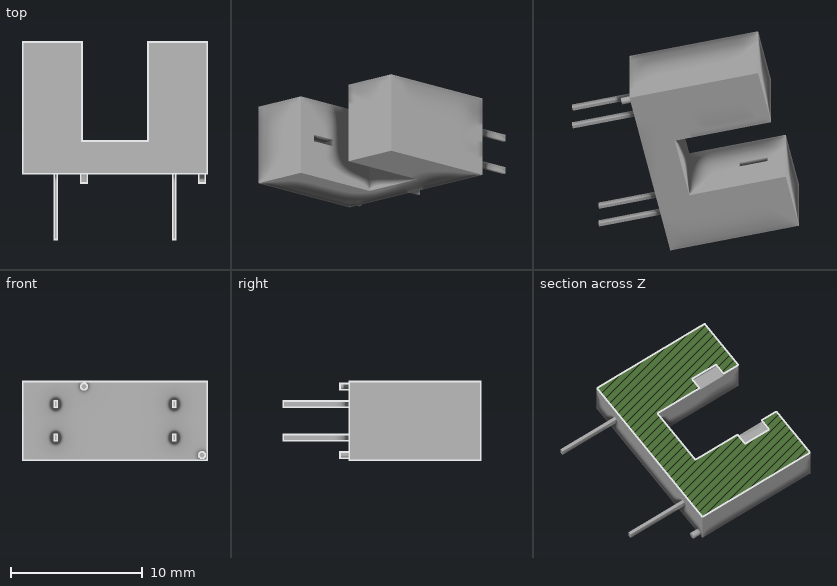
import cadquery as cq


body_width = 14.0
body_depth = 10.0
body_height = 6.0

gap_width = 5.0
gap_depth = 7.5
gap_floor_y = body_depth - gap_depth

window_length = 2.2
window_height = 0.5
window_recess = 1.0
window_center_y = 7.5

lead_width = 0.25
lead_height = 0.5
lead_length = 5.0
lead_spacing_x = 9.0
lead_spacing_z = 2.54

peg_diameter = 0.5
peg_length = 0.7
peg_offset_z = 2.6
peg_centers = [(-2.35, peg_offset_z), (6.6, -peg_offset_z)]


def make_body():
    """Block with the gap cut through its full height from the +Y side."""
    block = cq.Workplane("XY").box(
        body_width, body_depth, body_height, centered=(True, False, True)
    )
    gap = (
        cq.Workplane("XY")
        .box(gap_width, gap_depth, body_height, centered=(True, False, True))
        .translate((0, gap_floor_y, 0))
    )
    return block.cut(gap)


def make_windows():
    """One bar across the gap that reaches into both arms."""
    return (
        cq.Workplane("XY")
        .box(gap_width + 2 * window_recess, window_length, window_height)
        .translate((0, window_center_y, 0))
    )


def make_leads():
    """Four rectangular leads pointing toward -Y."""
    return (
        cq.Workplane("XZ")
        .rarray(lead_spacing_x, lead_spacing_z, 2, 2)
        .rect(lead_width, lead_height)
        .extrude(lead_length)
    )


def make_pegs():
    """Two round pegs near opposite edges of the lead face."""
    return (
        cq.Workplane("XZ")
        .pushPoints(peg_centers)
        .circle(peg_diameter / 2)
        .extrude(peg_length)
    )


result = make_body().cut(make_windows()).union(make_leads()).union(make_pegs())